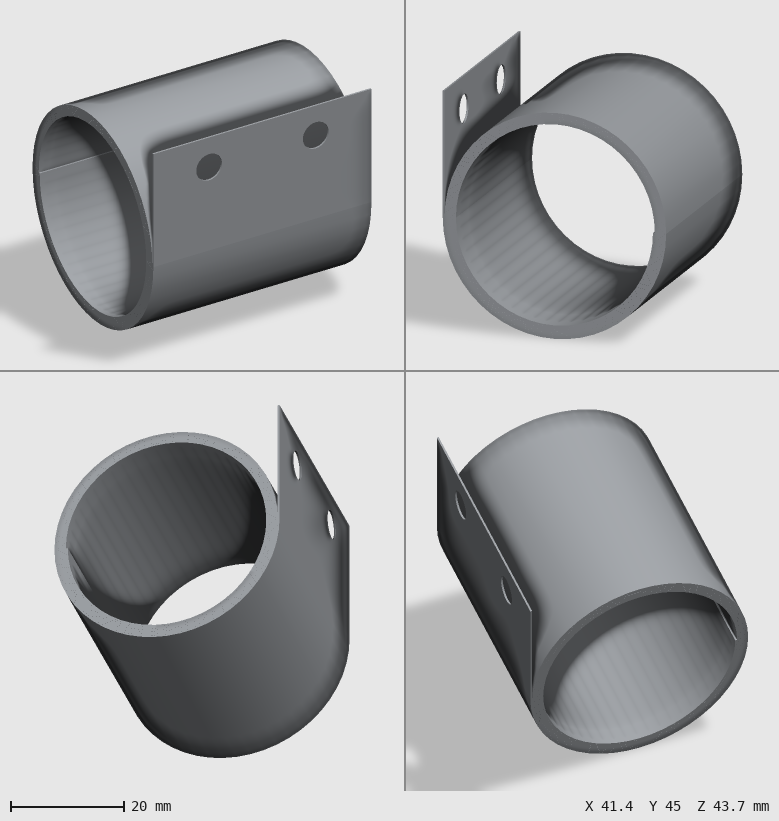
import cadquery as cq

strip_width = 45.0
strip_thickness = 0.345
turn_gap = 0.005
outer_radius = 20.7
lower_arc_count = 7
tail_height = 23.0
hole_diameter = 5.3
hole_spacing = 22.0
hole_drop = 6.05

pitch = strip_thickness + turn_gap
hole_z = tail_height - hole_drop


def lower_half_radii(start_radius):
    """Radius of each lower half turn, from the outside of the coil inwards."""
    return [start_radius - turn * pitch for turn in range(lower_arc_count)]


def spiral_arcs(start_radius):
    """Half circles (start, middle, end) running clockwise from the right side inwards.

    Lower halves share the coil axis; upper halves are shifted by half a pitch
    so that each one joins two successive lower halves.
    """
    arcs = []
    radii = lower_half_radii(start_radius)
    for turn, radius in enumerate(radii):
        arcs.append(((radius, 0), (0, -radius), (-radius, 0)))
        if turn < lower_arc_count - 1:
            next_radius = radii[turn + 1]
            upper_center = (next_radius - radius) / 2
            upper_radius = (next_radius + radius) / 2
            arcs.append(((-radius, 0), (upper_center, upper_radius), (next_radius, 0)))
    return arcs


def wound_strip():
    """Coil and tail as one closed XZ outline, extruded along Y."""
    inner_face_radius = outer_radius - strip_thickness
    outer_arcs = spiral_arcs(outer_radius)
    inner_arcs = spiral_arcs(inner_face_radius)

    outline = cq.Workplane("XZ").moveTo(outer_radius, tail_height).lineTo(outer_radius, 0)
    for _, middle, end in outer_arcs:
        outline = outline.threePointArc(middle, end)
    inner_end = inner_arcs[-1][2]
    outline = outline.lineTo(*inner_end)
    for start, middle, _ in reversed(inner_arcs):
        outline = outline.threePointArc(middle, start)
    outline = outline.lineTo(inner_face_radius, tail_height).close()
    return outline.extrude(strip_width / 2, both=True)


def tail_holes():
    """Two cylinders along X that pass through the tail only."""
    return (
        cq.Workplane("YZ", origin=(outer_radius, 0, hole_z))
        .pushPoints([(-hole_spacing / 2, 0), (hole_spacing / 2, 0)])
        .circle(hole_diameter / 2)
        .extrude(strip_thickness * 2, both=True)
    )


result = wound_strip().cut(tail_holes())